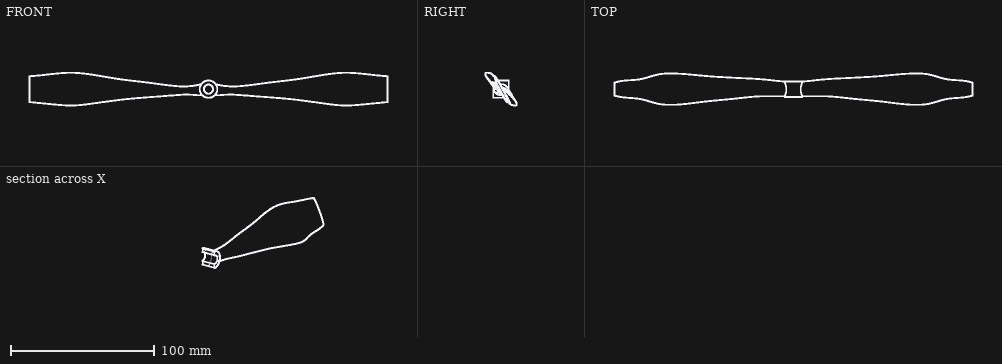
import cadquery as cq
import math

SPAN = 250.0
HUB_DIAMETER = 12.2
HUB_LENGTH = 11.0
BORE_DIAMETER = 6.2
TIP_RADIUS = SPAN / 2

SECTION_POINTS = 12
SPLINE_STEPS = [i / SECTION_POINTS for i in range(SECTION_POINTS + 1)]

BLADE_SECTIONS = [
    (3.8, 10.5, 8.0, 10, 0.2, -0.2),
    (9.0, 10.8, 6.8, 12, 0.2, -0.8),
    (18.0, 12.2, 4.5, 20, 0.8, -1.0),
    (27.0, 14.0, 4.0, 27, 1.0, -1.0),
    (45.0, 18.5, 3.5, 35, 0.5, -0.5),
    (63.2, 23.5, 3.0, 39, 0.2, -0.2),
    (81.2, 29.8, 2.8, 43, 0.0, 0.0),
    (90.2, 31.2, 2.5, 46, 0.0, 0.0),
    (99.5, 29.0, 2.5, 52, 0.0, 0.0),
    (108.5, 25.2, 2.2, 58, 0.0, 0.0),
    (TIP_RADIUS, 20.2, 2.2, 64, 0.0, 0.0),
]


def blade_section(radius, chord, thickness, pitch, centre_y, centre_z):
    """Elliptical wire across the blade; pitch turns the +Y edge down."""
    angles = [2 * math.pi * i / SECTION_POINTS for i in range(SECTION_POINTS)]
    outline = [(chord / 2 * math.cos(a), thickness / 2 * math.sin(a)) for a in angles]
    section = cq.Workplane("YZ").spline(outline, periodic=True, parameters=SPLINE_STEPS).wire().val()
    pitched = section.rotate(cq.Vector(0, 0, 0), cq.Vector(1, 0, 0), -pitch)
    return pitched.translate(cq.Vector(radius, centre_y, centre_z))


def make_blade():
    """Smooth twisted blade pointing along +X."""
    wires = [blade_section(*section) for section in BLADE_SECTIONS]
    blade_solid = cq.occ_impl.shapes.loft(
        *wires, cap=True, compat=False, parametrization="chordal"
    )
    return cq.Workplane(blade_solid)


def shaft_cylinder(diameter):
    """Cylinder along the shaft axis, centred on the origin."""
    return cq.Workplane("XZ").circle(diameter / 2).extrude(HUB_LENGTH / 2, both=True)


blade = make_blade()
opposite_blade = blade.mirror("YZ")
hub = shaft_cylinder(HUB_DIAMETER)
bore = shaft_cylinder(BORE_DIAMETER)

result = hub.union(blade).union(opposite_blade).cut(bore)